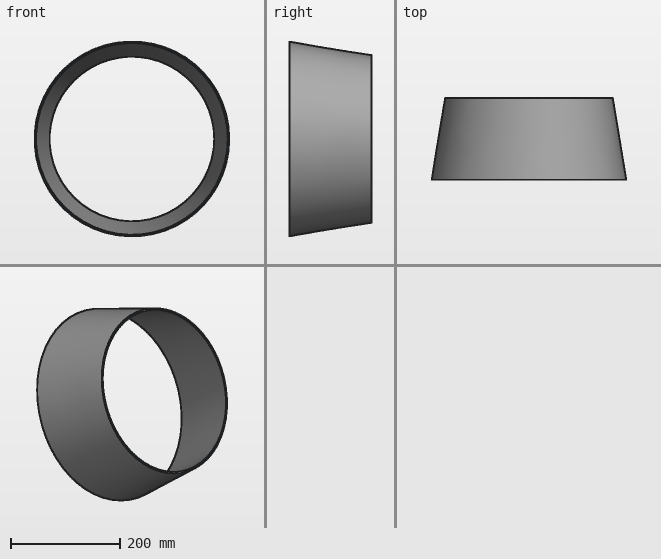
import cadquery as cq

large_diameter = 356.0
small_diameter = 306.5
length = 150.0
wall = 3.2

front_y = -length / 2
back_y = length / 2
large_radius = large_diameter / 2
small_radius = small_diameter / 2

wall_section = (
    cq.Workplane("XY")
    .moveTo(large_radius - wall, front_y)
    .lineTo(large_radius, front_y)
    .lineTo(small_radius, back_y)
    .lineTo(small_radius - wall, back_y)
    .close()
)

result = wall_section.revolve(360, (0, 0, 0), (0, 1, 0))